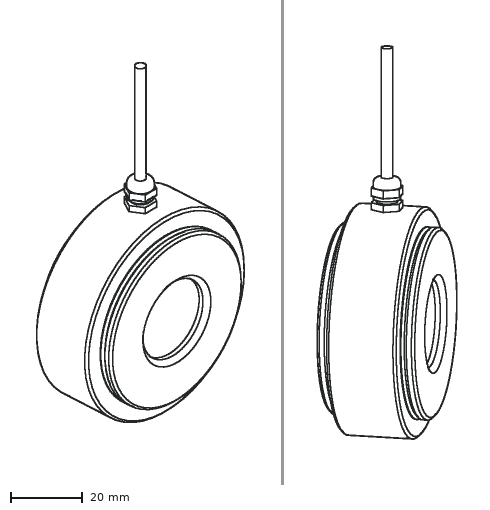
import cadquery as cq
import math

rim_chamfer = 0.8
housing_diameter = 65.0
housing_width = 20.0
overall_width = 28.0
overall_height = 111.5

disc_diameter = 54.0
disc_thickness = 3.0
bore_diameter = 24.5
bore_chamfer = 1.6

hex_across_flats = 8.0
neck_diameter = 6.0
cap_diameter = 7.8
base_hex_height = 2.0
neck_height = 0.9
skirt_height = 1.0
nut_hex_height = 2.3
cap_height = 2.8
cap_round = 1.7
cable_diameter = 3.2

housing_radius = housing_diameter / 2
disc_radius = disc_diameter / 2
bore_radius = bore_diameter / 2
groove_radius = disc_radius - rim_chamfer
outer_face = overall_width / 2
disc_seat = outer_face - disc_thickness
housing_face = housing_width / 2
cable_top = overall_height - housing_radius


def revolve_about_x(profile):
    """Turn an (x, radius) outline about the X axis."""
    return cq.Workplane("XY").polyline(profile).close().revolve(360, (0, 0, 0), (1, 0, 0))


def make_housing():
    """Ring with chamfered rim and a short chamfered boss on each face."""
    half_profile = [
        (disc_seat, bore_radius),
        (disc_seat, groove_radius),
        (disc_seat - rim_chamfer, disc_radius),
        (housing_face, disc_radius),
        (housing_face, housing_radius - rim_chamfer),
        (housing_face - rim_chamfer, housing_radius),
    ]
    mirrored = [(-x, radius) for x, radius in reversed(half_profile)]
    return revolve_about_x(half_profile + mirrored)


def make_end_disc(side):
    """Bored disc seated on the housing boss; side is +1 or -1 along X."""
    profile = [
        (disc_seat, bore_radius),
        (disc_seat, groove_radius),
        (disc_seat + rim_chamfer, disc_radius),
        (outer_face - rim_chamfer, disc_radius),
        (outer_face, disc_radius - rim_chamfer),
        (outer_face, bore_radius + bore_chamfer),
        (outer_face - bore_chamfer, bore_radius),
    ]
    return revolve_about_x([(side * x, radius) for x, radius in profile])


def make_hexagon(bottom, height):
    """Hexagonal section with corners on the Y axis."""
    across_corners = hex_across_flats / math.cos(math.pi / 6)
    return (
        cq.Workplane("XY", origin=(0, 0, bottom))
        .transformed(rotate=(0, 0, 90))
        .polygon(6, across_corners)
        .extrude(height)
    )


def make_cylinder(diameter, bottom, height):
    return cq.Workplane("XY", origin=(0, 0, bottom)).circle(diameter / 2).extrude(height)


def make_gland():
    """Flat base hexagon resting on the crown of the housing rim, neck, and nut with a rounded cap."""
    neck_bottom = housing_radius + base_hex_height
    skirt_bottom = neck_bottom + neck_height
    nut_bottom = skirt_bottom + skirt_height
    cap_bottom = nut_bottom + nut_hex_height

    base = make_hexagon(housing_radius, base_hex_height)
    neck = make_cylinder(neck_diameter, neck_bottom, neck_height)
    skirt = make_cylinder(cap_diameter, skirt_bottom, skirt_height)
    nut = make_hexagon(nut_bottom, nut_hex_height)
    cap = make_cylinder(cap_diameter, cap_bottom, cap_height).faces(">Z").edges().fillet(cap_round)
    gland = base.union(neck).union(skirt).union(nut).union(cap)
    return gland.cut(make_cable())


def make_cable():
    """Cable running from the housing rim up through the gland."""
    return make_cylinder(cable_diameter, housing_radius, cable_top - housing_radius)


housing = make_housing()
end_discs = [make_end_disc(side) for side in (-1, 1)]
gland = make_gland()
cable = make_cable()

result = cq.Compound.makeCompound(
    [housing.val(), *[disc.val() for disc in end_discs], gland.val(), cable.val()]
)